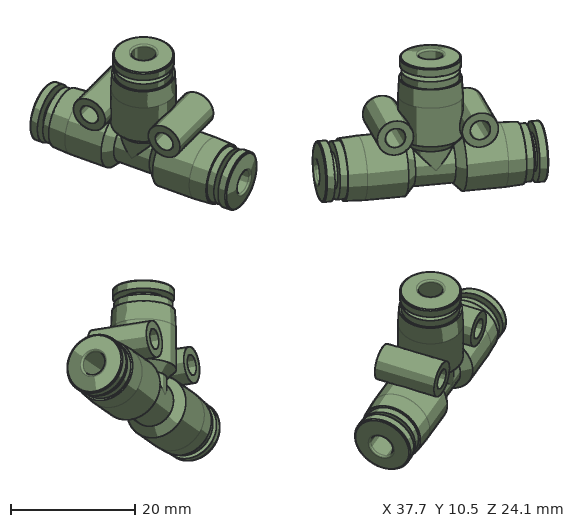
import cadquery as cq
import math

port_reach = 18.85

button_radius = 9.9 / 2
button_face_radius = 4.75
face_cone_depth = 0.45
button_edge_depth = 0.65
button_back_depth = 1.92
stem_radius = 6.0 / 2
stem_root_radius = 3.13
stem_root_depth = 2.22

collar_radius = 4.75
collar_front_depth = 2.83
collar_back_depth = 4.1
taper_front_radius = 5.1
taper_bulge = 0.01
taper_back_depth = 7.2
body_radius = 10.5 / 2
body_back_depth = 14.02
neck_radius = 3.77
neck_depth = body_back_depth + body_radius - neck_radius

mouth_radius = 4.65 / 2
tube_radius = 3.95 / 2
mouth_rounding = mouth_radius - tube_radius
tube_depth = body_back_depth
flow_radius = 3.0 / 2

lug_offset = 7.0
lug_radius = 5.95 / 2
lug_hole_radius = 3.3 / 2
lug_length = 2 * body_radius


def at_depth(radius, depth):
    """Profile point at a given depth below the port mouth."""
    return (radius, port_reach - depth)


def make_port():
    """Solid port along +Z, from the tee centre to the mouth."""
    taper_middle_radius = (body_radius + taper_front_radius) / 2 + taper_bulge
    taper_middle_depth = (taper_back_depth + collar_back_depth) / 2
    return (
        cq.Workplane("XZ")
        .polyline([
            (0, 0),
            (neck_radius, 0),
            at_depth(neck_radius, neck_depth),
            at_depth(body_radius, body_back_depth),
            at_depth(body_radius, taper_back_depth),
        ])
        .threePointArc(
            at_depth(taper_middle_radius, taper_middle_depth),
            at_depth(taper_front_radius, collar_back_depth),
        )
        .lineTo(*at_depth(collar_radius, collar_back_depth))
        .lineTo(*at_depth(collar_radius, collar_front_depth))
        .lineTo(*at_depth(stem_radius, collar_front_depth))
        .lineTo(*at_depth(stem_radius, stem_root_depth))
        .lineTo(*at_depth(stem_root_radius, button_back_depth))
        .lineTo(*at_depth(button_radius, button_back_depth))
        .lineTo(*at_depth(button_radius, button_edge_depth))
        .lineTo(*at_depth(button_face_radius, face_cone_depth))
        .lineTo(*at_depth(mouth_radius, 0))
        .lineTo(*at_depth(0, 0))
        .close()
        .revolve(360, (0, 0, 0), (0, 1, 0))
    )


def make_bore():
    """Tube socket with a rounded mouth and narrower flow passage along +Z."""
    rounding_offset = mouth_rounding * (1 - math.sqrt(0.5))
    return (
        cq.Workplane("XZ")
        .polyline([
            (0, 0),
            (flow_radius, 0),
            at_depth(flow_radius, tube_depth),
            at_depth(tube_radius, tube_depth),
            at_depth(tube_radius, mouth_rounding),
        ])
        .threePointArc(
            at_depth(tube_radius + rounding_offset, rounding_offset),
            at_depth(mouth_radius, 0),
        )
        .lineTo(*at_depth(0, 0))
        .close()
        .revolve(360, (0, 0, 0), (0, 1, 0))
    )


def make_tee(branch):
    """Join copies of a +Z branch pointing along -X, +Z and +X."""
    tee = branch
    for angle in (-90, 90):
        tee = tee.union(branch.rotate((0, 0, 0), (0, 1, 0), angle))
    return tee


def make_lug_cylinders(radius):
    """Y-direction cylinders, one in each inside corner."""
    return (
        cq.Workplane("XZ", origin=(0, lug_length / 2, 0))
        .pushPoints([(-lug_offset, lug_offset), (lug_offset, lug_offset)])
        .circle(radius)
        .extrude(lug_length)
    )


body = make_tee(make_port())
lugs = make_lug_cylinders(lug_radius)
lug_holes = make_lug_cylinders(lug_hole_radius)
result = body.union(lugs).cut(lug_holes).cut(make_tee(make_bore()))